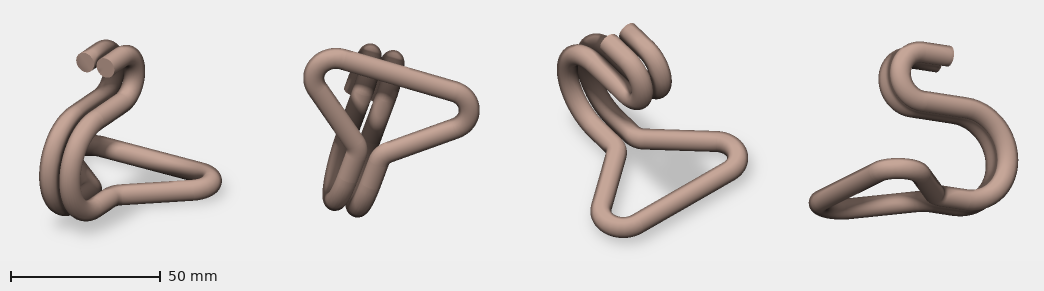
import cadquery as cq
import math

wire_diameter = 7.0
hook_pitch = 8.0
large_bend_radius = 16.0
small_bend_radius = 8.5
hook_middle_length = 16.5
hook_tip_length = 10.0
leg_length = 9.0
leg_bend_radius = 5.5
corner_radius = 7.5
back_bar_length = 39.0
back_bar_y = 42.0

leg_x = hook_pitch / 2
corner_center = (back_bar_length / 2, back_bar_y - corner_radius)
leg_bend_center = (leg_x + leg_bend_radius, leg_length)

center_dx = leg_bend_center[0] - corner_center[0]
center_dy = leg_bend_center[1] - corner_center[1]
center_distance = math.hypot(center_dx, center_dy)
radius_sum = corner_radius + leg_bend_radius
tangent_angle = math.atan2(center_dy, center_dx) + math.acos(radius_sum / center_distance)


def circle_point(center, radius, angle):
    return (center[0] + radius * math.cos(angle), center[1] + radius * math.sin(angle))


def mirrored(point):
    return (-point[0], point[1])


def sweep_wire(path, section_plane):
    section = cq.Workplane(section_plane).circle(wire_diameter / 2)
    return section.sweep(path)


def make_base_loop():
    """Flat triangular loop with open ends at the two legs."""
    leg_bend_start = (leg_x, leg_length)
    leg_bend_end = circle_point(leg_bend_center, leg_bend_radius, tangent_angle + math.pi)
    leg_bend_mid_angle = math.pi + tangent_angle / 2
    leg_bend_mid = circle_point(leg_bend_center, leg_bend_radius, leg_bend_mid_angle)
    corner_start = circle_point(corner_center, corner_radius, tangent_angle)
    corner_mid = circle_point(corner_center, corner_radius, (tangent_angle + math.pi / 2) / 2)
    corner_end = (back_bar_length / 2, back_bar_y)
    path = (
        cq.Workplane("XY")
        .moveTo(leg_x, 0)
        .lineTo(*leg_bend_start)
        .threePointArc(leg_bend_mid, leg_bend_end)
        .lineTo(*corner_start)
        .threePointArc(corner_mid, corner_end)
        .lineTo(*mirrored(corner_end))
        .threePointArc(mirrored(corner_mid), mirrored(corner_start))
        .lineTo(*mirrored(leg_bend_end))
        .threePointArc(mirrored(leg_bend_mid), mirrored(leg_bend_start))
        .lineTo(-leg_x, 0)
    )
    return sweep_wire(path, cq.Plane((leg_x, 0, 0), (1, 0, 0), (0, 1, 0)))


def make_hook(x):
    """S-shaped hook standing in the YZ plane."""
    middle_z = 2 * large_bend_radius
    tip_z = middle_z + 2 * small_bend_radius
    path = (
        cq.Workplane("YZ", origin=(x, 0, 0))
        .threePointArc((-large_bend_radius, large_bend_radius), (0, middle_z))
        .lineTo(hook_middle_length, middle_z)
        .threePointArc(
            (hook_middle_length + small_bend_radius, middle_z + small_bend_radius),
            (hook_middle_length, tip_z),
        )
        .lineTo(hook_middle_length - hook_tip_length, tip_z)
    )
    return sweep_wire(path, cq.Plane((x, 0, 0), (1, 0, 0), (0, -1, 0)))


result = make_base_loop()
for hook_x in (-leg_x, leg_x):
    result = result.union(make_hook(hook_x))